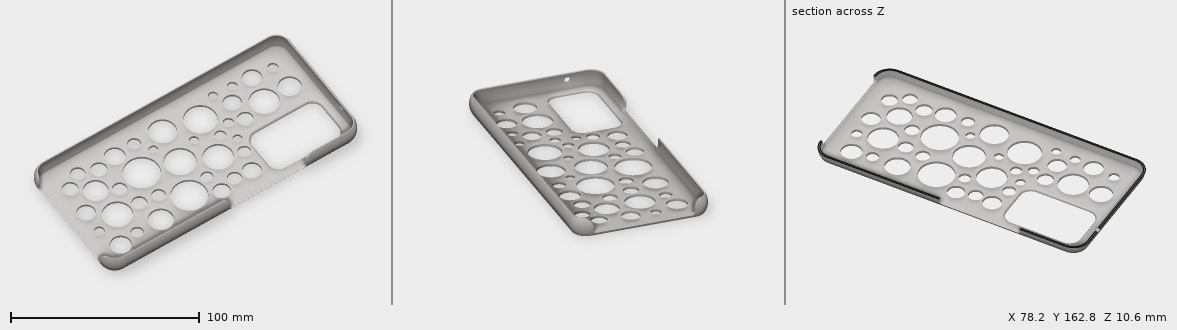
import cadquery as cq
import math

WIDTH = 78.2
LENGTH = 162.8
HEIGHT = 10.6

CORNER_RADIUS = 9.5
WALL = 1.22
FLOOR = 1.5
RIM_FILLET = 0.5
CAVITY_MID_HEIGHT = (FLOOR + HEIGHT) / 2

CAMERA_X = 18.2
CAMERA_Y = 51.6
CAMERA_WIDTH = 28.0
CAMERA_LENGTH = 44.8
CAMERA_CORNER_RADIUS = 6.4
CAMERA_ROUND = 1.3

NOTCH_BOTTOM = 1.6
NOTCH_FOOT_RADIUS = 2.0
NOTCH_RIM_RADIUS = 4.9
PORT_NOTCH_WIDTH = 58.0
BUTTON_NOTCH_START = -4.2
BUTTON_NOTCH_END = 44.6
NOTCH_DEPTH = 6.5

MIC_DIAMETER = 3.3
MIC_X = 19.4

FLOOR_HOLES = [
    (-9.8, 67.0, 12.7),
    (-24.8, 66.5, 6.0),
    (-25.5, 53.5, 10.9),
    (-9.3, 50.3, 16.6),
    (-26.9, 41.8, 5.7),
    (-18.0, 35.8, 10.3),
    (-5.5, 35.7, 9.0),
    (-27.5, 30.0, 5.2),
    (-8.5, 26.9, 6.0),
    (2.8, 25.0, 5.2),
    (11.7, 23.3, 7.3),
    (24.1, 19.7, 10.6),
    (-4.0, 18.7, 6.4),
    (-18.5, 15.8, 18.4),
    (6.8, 10.0, 16.6),
    (23.1, 9.3, 8.1),
    (-9.3, 5.4, 5.2),
    (26.0, -1.0, 9.8),
    (14.2, -2.3, 6.8),
    (-23.5, -5.2, 15.5),
    (-2.0, -8.5, 17.6),
    (-16.5, -15.8, 5.0),
    (18.9, -16.8, 20.0),
    (-25.2, -22.1, 7.3),
    (-7.5, -29.3, 20.4),
    (9.6, -30.1, 7.8),
    (-24.3, -35.2, 11.5),
    (23.3, -38.0, 13.8),
    (8.0, -41.4, 8.5),
    (-5.4, -45.0, 8.1),
    (-22.0, -46.9, 9.1),
    (23.1, -53.1, 7.0),
    (7.7, -55.2, 16.6),
    (-11.5, -56.0, 13.7),
    (-26.0, -57.6, 8.1),
    (24.9, -64.8, 11.7),
    (-20.0, -66.6, 9.0),
    (-2.6, -68.2, 10.3),
    (11.2, -69.2, 5.9),
]


def bulged_section(plane, core, radius, mid_height, bottom, top):
    """Cross-section with flat bottom and top and an arc on each side of a core width."""
    half_core = core / 2
    bottom_half = half_core + math.sqrt(radius**2 - (bottom - mid_height) ** 2)
    top_half = half_core + math.sqrt(radius**2 - (top - mid_height) ** 2)
    return (
        cq.Workplane(plane)
        .moveTo(-bottom_half, bottom)
        .lineTo(bottom_half, bottom)
        .threePointArc((half_core + radius, mid_height), (top_half, top))
        .lineTo(-top_half, top)
        .threePointArc((-half_core - radius, mid_height), (-bottom_half, bottom))
        .close()
    )


def rounded_block(width, length, radius, mid_height, bottom, top):
    """Block with arc-section sides and spherical corners, cut flat at bottom and top."""
    core_width = width - 2 * radius
    core_length = length - 2 * radius
    across = bulged_section("XZ", core_width, radius, mid_height, bottom, top)
    along = bulged_section("YZ", core_length, radius, mid_height, bottom, top)
    block = across.extrude(core_length / 2, both=True).union(along.extrude(core_width / 2, both=True))
    slab = cq.Workplane("XY").workplane(offset=bottom).rect(width, length).extrude(top - bottom)
    corner = cq.Workplane("XY").sphere(radius).translate((0, 0, mid_height)).intersect(slab)
    for side_x in (-1, 1):
        for side_y in (-1, 1):
            block = block.union(corner.translate((side_x * core_width / 2, side_y * core_length / 2, 0)))
    return block


def notch_cutter(plane, start, end):
    """Wall opening profile between start and end, extruded across the wall."""
    foot = NOTCH_FOOT_RADIUS
    rim = NOTCH_RIM_RADIUS
    return (
        cq.Workplane(plane)
        .moveTo(start + foot, NOTCH_BOTTOM)
        .lineTo(end - foot, NOTCH_BOTTOM)
        .radiusArc((end, NOTCH_BOTTOM + foot), -foot)
        .lineTo(end, HEIGHT - rim)
        .radiusArc((end + rim, HEIGHT), rim)
        .lineTo(start - rim, HEIGHT)
        .radiusArc((start, HEIGHT - rim), rim)
        .lineTo(start, NOTCH_BOTTOM + foot)
        .radiusArc((start + foot, NOTCH_BOTTOM), -foot)
        .close()
        .extrude(NOTCH_DEPTH)
    )


def window_top_edges(margin=0.2):
    """Selector for the edges where the camera window meets the inner floor."""
    half_x = CAMERA_WIDTH / 2 + margin
    half_y = CAMERA_LENGTH / 2 + margin
    return cq.selectors.BoxSelector(
        (CAMERA_X - half_x, CAMERA_Y - half_y, FLOOR - margin),
        (CAMERA_X + half_x, CAMERA_Y + half_y, FLOOR + margin),
    )


shell = rounded_block(WIDTH, LENGTH, CORNER_RADIUS, HEIGHT / 2, 0, HEIGHT)
cavity = rounded_block(
    WIDTH - 2 * WALL,
    LENGTH - 2 * WALL,
    CORNER_RADIUS - WALL,
    CAVITY_MID_HEIGHT,
    FLOOR,
    HEIGHT,
)
shell = shell.cut(cavity)
inner_rim = shell.faces(">Z").val().innerWires()[0]
shell = shell.newObject(inner_rim.Edges()).fillet(RIM_FILLET)

window = (
    cq.Workplane("XY")
    .center(CAMERA_X, CAMERA_Y)
    .rect(CAMERA_WIDTH, CAMERA_LENGTH)
    .extrude(FLOOR)
    .edges("|Z")
    .fillet(CAMERA_CORNER_RADIUS)
)
shell = shell.cut(window)
shell = shell.edges(window_top_edges()).fillet(CAMERA_ROUND)

for x, y, diameter in FLOOR_HOLES:
    shell = shell.cut(cq.Workplane("XY").center(x, y).circle(diameter / 2).extrude(FLOOR))

port_notch = notch_cutter("XZ", -PORT_NOTCH_WIDTH / 2, PORT_NOTCH_WIDTH / 2)
shell = shell.cut(port_notch.translate((0, NOTCH_DEPTH - LENGTH / 2, 0)))
button_notch = notch_cutter("YZ", BUTTON_NOTCH_START, BUTTON_NOTCH_END)
shell = shell.cut(button_notch.translate((WIDTH / 2 - NOTCH_DEPTH, 0, 0)))

mic = cq.Workplane("XZ").center(MIC_X, CAVITY_MID_HEIGHT).circle(MIC_DIAMETER / 2).extrude(-LENGTH / 2)
result = shell.cut(mic)